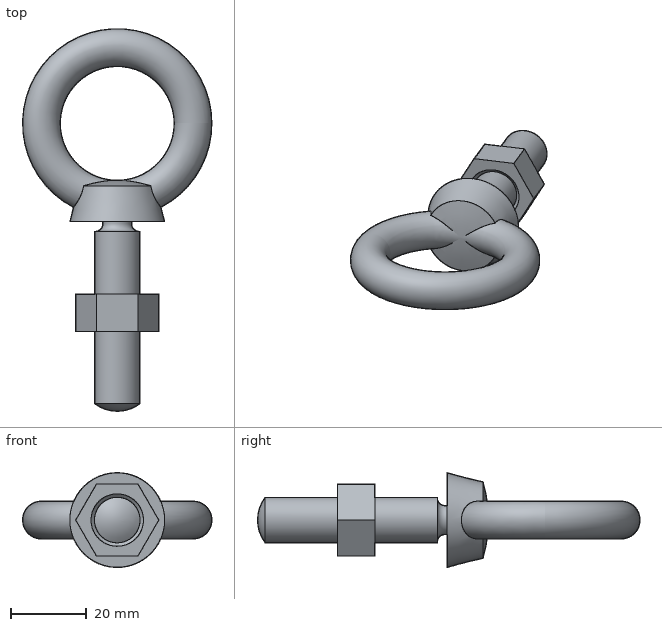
import cadquery as cq
import math

overall_length = 101.0

ring_outer_diameter = 50.0
rod_diameter = 10.0
rod_radius = rod_diameter / 2
ring_outer_radius = ring_outer_diameter / 2
ring_mean_radius = ring_outer_radius - rod_radius
ring_inner_radius = ring_outer_radius - rod_diameter

collar_base_radius = 12.5
collar_top_radius = 10.1
collar_base_y = -26.0
collar_cone_height = 9.5
collar_top_y = collar_base_y + collar_cone_height
dome_height = -ring_inner_radius - collar_top_y

shank_diameter = 12.0
shank_radius = shank_diameter / 2
neck_radius = 3.8
neck_length = 2.5
neck_fillet_radius = 1.9
shank_start_y = collar_base_y - neck_length
tip_y = ring_outer_radius - overall_length
tip_height = 2.0
shank_end_y = tip_y + tip_height

nut_across_flats = 19.0
nut_across_corners = nut_across_flats / math.cos(math.radians(30))
nut_height = 9.9
nut_top_y = collar_base_y - 19.1
bore_chamfer = 0.9


def spherical_cap_mid_point(rim_radius, rim_y, height):
    """Point halfway along the arc of a cap whose signed height is along Y."""
    sphere_radius = (rim_radius**2 + height**2) / (2 * abs(height))
    half_angle = math.asin(rim_radius / sphere_radius) / 2
    apex_drop = sphere_radius * (1 - math.cos(half_angle))
    mid_y = rim_y + math.copysign(abs(height) - apex_drop, height)
    return (sphere_radius * math.sin(half_angle), mid_y)


def make_ring():
    """Torus around the Z axis."""
    return cq.Workplane(cq.Solid.makeTorus(ring_mean_radius, rod_radius))


def make_collar_and_shank():
    """Half profile revolved around the Y axis, from the dome to the tip."""
    fillet_start_y = shank_start_y + neck_fillet_radius
    fillet_centre_x = neck_radius + neck_fillet_radius
    fillet_reach = neck_fillet_radius * math.cos(math.radians(45))
    fillet_mid = (fillet_centre_x - fillet_reach, fillet_start_y - fillet_reach)
    dome_mid = spherical_cap_mid_point(collar_top_radius, collar_top_y, dome_height)
    tip_mid = spherical_cap_mid_point(shank_radius, shank_end_y, -tip_height)
    profile = (
        cq.Workplane("XY")
        .moveTo(0, collar_top_y + dome_height)
        .threePointArc(dome_mid, (collar_top_radius, collar_top_y))
        .lineTo(collar_base_radius, collar_base_y)
        .lineTo(neck_radius, collar_base_y)
        .lineTo(neck_radius, fillet_start_y)
        .threePointArc(fillet_mid, (fillet_centre_x, shank_start_y))
        .lineTo(shank_radius, shank_start_y)
        .lineTo(shank_radius, shank_end_y)
        .threePointArc(tip_mid, (0, tip_y))
        .close()
    )
    return profile.revolve(360, (0, 0, 0), (0, 1, 0))


def make_eye_bolt():
    """Ring, collar and shank as one solid."""
    return make_ring().union(make_collar_and_shank())


def make_nut():
    """Hexagonal nut on the shank, with corners on +X and -X and a chamfered bore."""
    blank = (
        cq.Workplane("XZ", origin=(0, nut_top_y, 0))
        .polygon(6, nut_across_corners)
        .extrude(nut_height)
    )
    bored = blank.cut(
        cq.Workplane("XZ", origin=(0, nut_top_y, 0)).circle(shank_radius).extrude(nut_height)
    )
    return bored.edges("%CIRCLE").chamfer(bore_chamfer)


eye_bolt = make_eye_bolt()
nut = make_nut()

result = cq.Compound.makeCompound([eye_bolt.val(), nut.val()])